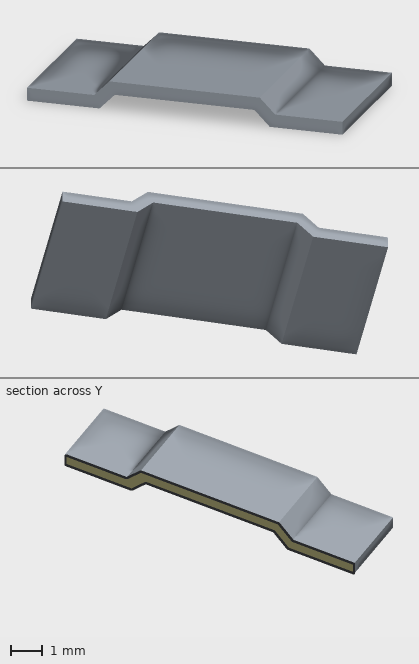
import cadquery as cq
import math

length = 10.49
width = 5.0
height = 0.94
thickness = 0.43
plateau_length = 5.0
bend_angle = 45.0

rise = height - thickness
ramp_run = rise / math.tan(math.radians(bend_angle))
bend_shift = thickness * math.tan(math.radians(bend_angle / 2))

half_length = length / 2
upper_bend_x = plateau_length / 2
lower_bend_x = upper_bend_x + ramp_run


def joggled_strip():
    """Sheet strip with a raised middle, symmetric about the YZ plane and resting on Z = 0."""
    right_half = [
        (upper_bend_x, height),
        (lower_bend_x, thickness),
        (half_length, thickness),
        (half_length, 0),
        (lower_bend_x - bend_shift, 0),
        (upper_bend_x - bend_shift, rise),
    ]
    left_half = [(-x, z) for x, z in reversed(right_half)]
    profile = cq.Workplane("XZ").polyline(right_half + left_half).close()
    return profile.extrude(width / 2, both=True)


result = joggled_strip()